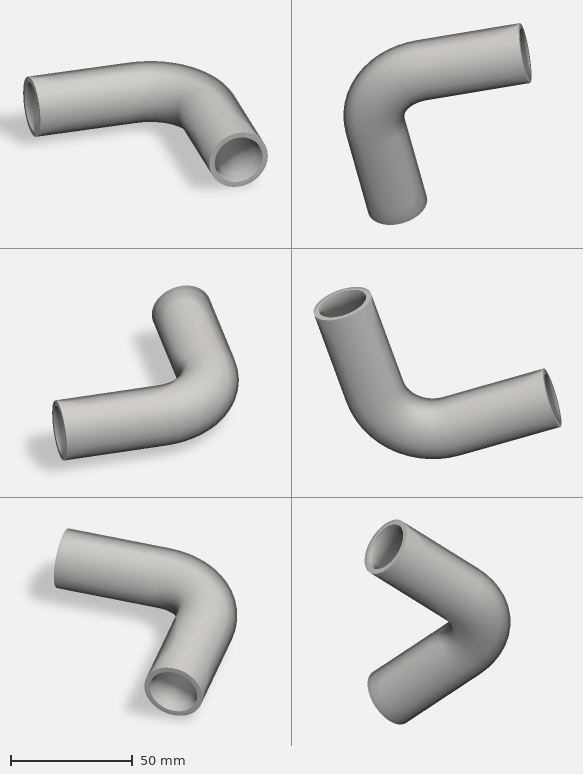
import cadquery as cq
import math

overall_length = 81.0
outer_diameter = 25.0
wall_thickness = 2.3
bend_radius = outer_diameter

outer_radius = outer_diameter / 2
inner_radius = outer_radius - wall_thickness
centreline_leg = overall_length - outer_radius
bend_mid_offset = bend_radius * (1 - math.sqrt(0.5))

centreline = (
    cq.Workplane("XY")
    .moveTo(0, -centreline_leg)
    .lineTo(0, -bend_radius)
    .threePointArc((bend_mid_offset, -bend_mid_offset), (bend_radius, 0))
    .lineTo(centreline_leg, 0)
)

result = (
    cq.Workplane("XZ", origin=(0, -centreline_leg, 0))
    .circle(outer_radius)
    .circle(inner_radius)
    .sweep(centreline)
)